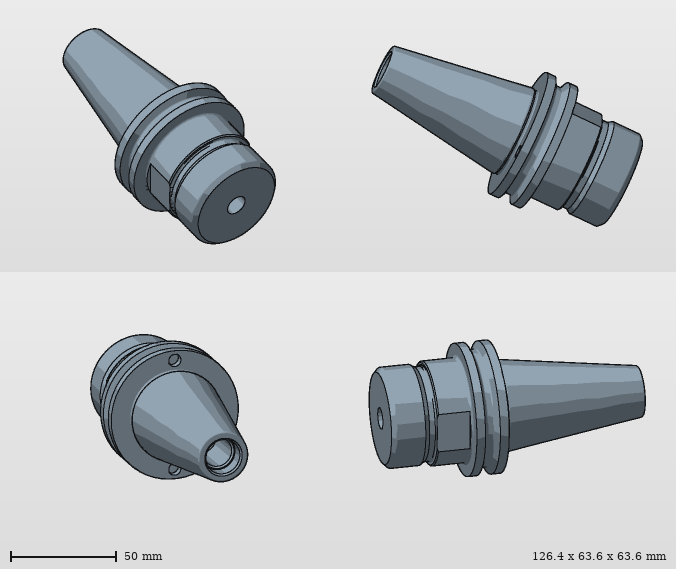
import cadquery as cq
import math

length = 126.4
taper_end = 68.3
gauge_band_end = 69.0
relief_start = 69.8
flange_start = 71.4
flange_end = 87.2
body_end = 104.4
neck_end = 108.0
nose_start = 110.2

taper_large_radius = 22.2
taper_ratio = 7 / 48
relief_radius = 21.9
flange_radius = 31.79
groove_radius = 28.0
body_radius = 25.0
neck_radius = 22.6
nose_radius = 24.1

tip_fillet = 0.9
relief_fillet = 0.5
body_fillet = 1.5
body_chamfer = 0.6
neck_fillet = 0.8
nose_chamfer = 2.1
nose_chamfer_radius = 1.0

groove_center = 79.4
groove_bottom_width = 3.3
groove_top_width = 7.2
groove_fillet = 0.8

through_radius = 5.0
pilot_radius = 8.5
pilot_depth = 8.0
mouth_chamfer = 0.9
thread_radius = 7.1
thread_depth = 31.6
thread_chamfer = 0.9
bore_cone_angle = 60.0

flat_half_width = 23.07
flat_start = 88.5
hole_radius = 3.0
hole_offset = 26.9
hole_depth = 3.8


def revolve_about_x(profile):
    """Turn a closed profile of (x, radius) around the X axis."""
    return profile.close().revolve(360, (0, 0, 0), (1, 0, 0))


def edge_circles(solid, station, radius):
    """Select the circular edges at one axial station and radius."""
    tolerance = 0.01
    box = cq.selectors.BoxSelector(
        (station - tolerance, -radius - tolerance, -radius - tolerance),
        (station + tolerance, radius + tolerance, radius + tolerance),
        boundingbox=True,
    )
    outer = solid.edges(box)
    return outer.filter(lambda edge: abs(edge.BoundingBox().zmax - radius) < tolerance)


def turned_body():
    """Taper, flange, cylindrical body, neck and nose."""
    tip_radius = taper_large_radius - taper_ratio * taper_end
    groove_bottom_start = groove_center - groove_bottom_width / 2
    groove_bottom_end = groove_center + groove_bottom_width / 2
    body = revolve_about_x(
        cq.Workplane("XY")
        .moveTo(0, 0)
        .lineTo(0, tip_radius)
        .lineTo(taper_end, taper_large_radius)
        .lineTo(gauge_band_end, taper_large_radius)
        .lineTo(relief_start, relief_radius)
        .lineTo(flange_start, relief_radius)
        .lineTo(flange_start, flange_radius)
        .lineTo(groove_center - groove_top_width / 2, flange_radius)
        .lineTo(groove_bottom_start, groove_radius)
        .lineTo(groove_bottom_end, groove_radius)
        .lineTo(groove_center + groove_top_width / 2, flange_radius)
        .lineTo(flange_end, flange_radius)
        .lineTo(flange_end, body_radius)
        .lineTo(body_end - body_chamfer, body_radius)
        .lineTo(body_end, body_radius - body_chamfer)
        .lineTo(body_end, neck_radius)
        .lineTo(neck_end, neck_radius)
        .lineTo(nose_start, nose_radius)
        .lineTo(length - nose_chamfer, nose_radius)
        .lineTo(length, nose_radius - nose_chamfer)
        .lineTo(length, 0)
    )
    fillets = (
        (0, tip_radius, tip_fillet),
        (flange_start, relief_radius, relief_fillet),
        (groove_bottom_start, groove_radius, groove_fillet),
        (groove_bottom_end, groove_radius, groove_fillet),
        (flange_end, body_radius, body_fillet),
        (body_end, neck_radius, neck_fillet),
        (length - nose_chamfer, nose_radius, nose_chamfer_radius),
    )
    for station, radius, fillet in fillets:
        body = edge_circles(body, station, radius).fillet(fillet)
    return body


def bore():
    """Chamfered pilot and thread bore, narrowing to the through hole."""
    cone_length = (thread_radius - through_radius) / math.tan(math.radians(bore_cone_angle))
    return revolve_about_x(
        cq.Workplane("XY")
        .moveTo(0, 0)
        .lineTo(0, pilot_radius + mouth_chamfer)
        .lineTo(mouth_chamfer, pilot_radius)
        .lineTo(pilot_depth, pilot_radius)
        .lineTo(pilot_depth, thread_radius + thread_chamfer)
        .lineTo(pilot_depth + thread_chamfer, thread_radius)
        .lineTo(thread_depth, thread_radius)
        .lineTo(thread_depth + cone_length, through_radius)
        .lineTo(length, through_radius)
        .lineTo(length, 0)
    )


def wrench_flat(side):
    """Cutter for the flat on one Y side of the cylindrical body."""
    flat_length = body_end - flat_start
    cutter_depth = flange_radius - flat_half_width
    return cq.Workplane("XY").box(flat_length, cutter_depth, 2 * flange_radius).translate(
        (flat_start + flat_length / 2, side * (flat_half_width + cutter_depth / 2), 0)
    )


def flange_hole(side):
    """Blind axial hole in the taper-side flange face, above or below the axis."""
    return (
        cq.Workplane("YZ", origin=(flange_start, 0, side * hole_offset))
        .circle(hole_radius)
        .extrude(hole_depth)
    )


result = turned_body().cut(bore())
for side in (-1, 1):
    result = result.cut(wrench_flat(side)).cut(flange_hole(side))